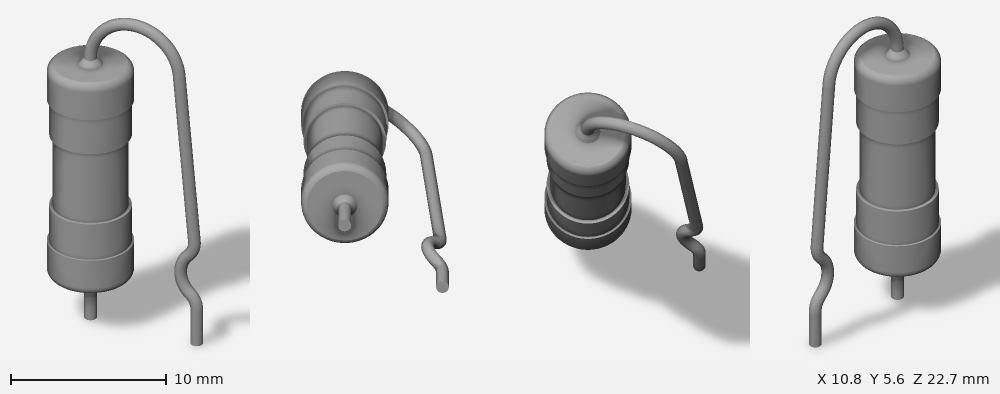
import cadquery as cq
import math

CENTER_Z = 10.92
CORE_DIAMETER = 4.85
SLEEVE_DIAMETER = 5.31
CAP_DIAMETER = 5.6
CORE_LENGTH = 10.35
SLEEVE_LENGTH = 2.59
CAP_LENGTH = 2.59
CAP_FACE_DIAMETER = 4.85
CAP_RIM_HEIGHT = 0.55

WIRE_DIAMETER = 0.82
FLARE_DIAMETER = 1.6
FLARE_HEIGHT = 0.43

LOOP_RADIUS = 3.18
SLANT_ANGLE = 5.2
SLANT_LENGTH = 12.0
KINK_END_RADIUS = 1.36
KINK_MIDDLE_RADIUS = 1.88
KINK_INWARD_ANGLE = -46.0
KINK_OUTWARD_ANGLE = 50.0

WIRE_RADIUS = WIRE_DIAMETER / 2
CORE_BOTTOM = CENTER_Z - CORE_LENGTH / 2
CAP_END_OFFSET = CORE_LENGTH / 2 + CAP_LENGTH
BODY_BOTTOM = CENTER_Z - CAP_END_OFFSET
BODY_TOP = CENTER_Z + CAP_END_OFFSET
LOOP_START_Z = BODY_TOP + FLARE_HEIGHT


def place_at_end(upright, end):
    """Put a body of revolution, modelled above Z = 0, at the top (1) or bottom (-1) half."""
    if end < 0:
        upright = upright.mirror("XY")
    return upright.translate((0, 0, CENTER_Z))


def make_core():
    return (
        cq.Workplane("XY", origin=(0, 0, CORE_BOTTOM))
        .circle(CORE_DIAMETER / 2)
        .circle(WIRE_RADIUS)
        .extrude(CORE_LENGTH)
    )


def make_sleeve(end):
    """Ring around one end of the core."""
    ring = (
        cq.Workplane("XY", origin=(0, 0, CORE_LENGTH / 2 - SLEEVE_LENGTH))
        .circle(SLEEVE_DIAMETER / 2)
        .circle(CORE_DIAMETER / 2)
        .extrude(SLEEVE_LENGTH)
    )
    return place_at_end(ring, end)


def make_cap(end):
    """End cap with a rounded outer rim and a hole for the lead."""
    inner_z = CORE_LENGTH / 2
    rim_z = CAP_END_OFFSET - CAP_RIM_HEIGHT
    cap_radius = CAP_DIAMETER / 2
    cap = (
        cq.Workplane("XZ")
        .moveTo(WIRE_RADIUS, inner_z)
        .lineTo(cap_radius, inner_z)
        .lineTo(cap_radius, rim_z)
        .tangentArcPoint((CAP_FACE_DIAMETER / 2, CAP_END_OFFSET), relative=False)
        .lineTo(WIRE_RADIUS, CAP_END_OFFSET)
        .close()
        .revolve(360, (0, 0, 0), (0, 1, 0))
    )
    return place_at_end(cap, end)


def make_flare(end):
    """Cone that widens the lead where it meets a cap."""
    cone = cq.Solid.makeCone(
        FLARE_DIAMETER / 2, WIRE_RADIUS, FLARE_HEIGHT, pnt=cq.Vector(0, 0, CAP_END_OFFSET)
    )
    return place_at_end(cq.Workplane(cone), end)


def add_bend(path, point, radius, start_angle, end_angle):
    """Append an arc to a descending path and return the path and its new end point.

    Angles are leans from straight down in degrees, positive towards +X.
    """

    def along(angle):
        turn = math.copysign(radius, end_angle - start_angle)
        start = math.radians(start_angle)
        lean = math.radians(angle)
        x = point[0] + turn * (math.cos(start) - math.cos(lean))
        z = point[1] - turn * (math.sin(lean) - math.sin(start))
        return x, z

    end_point = along(end_angle)
    middle_point = along((start_angle + end_angle) / 2)
    return path.threePointArc(middle_point, end_point), end_point


def make_lead():
    """Wire through the body, looped over the top and kinked near its outer foot."""
    path = cq.Workplane("XZ").lineTo(0, LOOP_START_Z)
    point = (0, LOOP_START_Z)
    path, point = add_bend(path, point, LOOP_RADIUS, 180, SLANT_ANGLE)

    slant = math.radians(SLANT_ANGLE)
    point = (
        point[0] + SLANT_LENGTH * math.sin(slant),
        point[1] - SLANT_LENGTH * math.cos(slant),
    )
    path = path.lineTo(*point)

    kink = [
        (KINK_END_RADIUS, SLANT_ANGLE, KINK_INWARD_ANGLE),
        (KINK_MIDDLE_RADIUS, KINK_INWARD_ANGLE, KINK_OUTWARD_ANGLE),
        (KINK_END_RADIUS, KINK_OUTWARD_ANGLE, 0),
    ]
    for radius, start_angle, end_angle in kink:
        path, point = add_bend(path, point, radius, start_angle, end_angle)
    path = path.lineTo(point[0], 0)

    lead = cq.Workplane("XY").circle(WIRE_RADIUS).sweep(path)
    for end in (-1, 1):
        lead = lead.union(make_flare(end))
    return lead


core = make_core()
sleeves = [make_sleeve(end) for end in (-1, 1)]
caps = [make_cap(end) for end in (-1, 1)]
lead = make_lead()

result = cq.Compound.makeCompound(
    [
        core.val(),
        *[sleeve.val() for sleeve in sleeves],
        *[cap.val() for cap in caps],
        *lead.vals(),
    ]
)